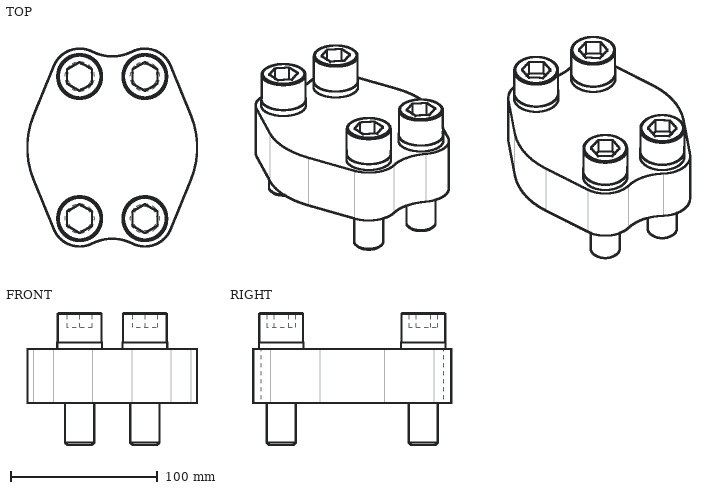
import cadquery as cq
import math

body_length = 135.0
bolt_spacing_x = 44.45
bolt_spacing_y = 96.82
ear_radius = (body_length - bolt_spacing_y) / 2
side_radius = 58.0
notch_radius = 30.0
body_height = 37.0

washer_diameter = 30.6
washer_thickness = 4.45

head_diameter = 30.0
head_height = 20.0
head_chamfer = 0.8
shank_diameter = 20.0
shank_length = 70.0
tip_chamfer = 1.75
socket_across_flats = 17.0
socket_depth = 10.0
socket_sides = 6

ear_x = bolt_spacing_x / 2
ear_y = bolt_spacing_y / 2
head_seat_z = body_height + washer_thickness


def mirror_x(point):
    return (-point[0], point[1])


def mirror_y(point):
    return (point[0], -point[1])


def point_on_circle(center, radius, angle):
    return (center[0] + radius * math.cos(angle), center[1] + radius * math.sin(angle))


def make_body():
    """Flange plate with a tangent outline, symmetric about both axes."""
    ear_center = (ear_x, ear_y)

    ear_distance = math.hypot(ear_x, ear_y)
    ear_direction = math.atan2(ear_y, ear_x)
    flank_normal = ear_direction - math.acos((side_radius - ear_radius) / ear_distance)
    side_end = point_on_circle((0, 0), side_radius, flank_normal)
    ear_start = point_on_circle(ear_center, ear_radius, flank_normal)

    center_gap = ear_radius + notch_radius
    notch_center_y = ear_y + math.sqrt(center_gap**2 - ear_x**2)
    notch_direction = math.atan2(notch_center_y - ear_y, -ear_x)
    ear_end = point_on_circle(ear_center, ear_radius, notch_direction)
    ear_middle = point_on_circle(ear_center, ear_radius, (flank_normal + notch_direction) / 2)
    notch_bottom = (0, notch_center_y - notch_radius)

    return (
        cq.Workplane("XY")
        .moveTo(*mirror_y(side_end))
        .threePointArc((side_radius, 0), side_end)
        .lineTo(*ear_start)
        .threePointArc(ear_middle, ear_end)
        .threePointArc(notch_bottom, mirror_x(ear_end))
        .threePointArc(mirror_x(ear_middle), mirror_x(ear_start))
        .lineTo(*mirror_x(side_end))
        .threePointArc((-side_radius, 0), mirror_x(mirror_y(side_end)))
        .lineTo(*mirror_x(mirror_y(ear_start)))
        .threePointArc(mirror_x(mirror_y(ear_middle)), mirror_x(mirror_y(ear_end)))
        .threePointArc(mirror_y(notch_bottom), mirror_y(ear_end))
        .threePointArc(mirror_y(ear_middle), mirror_y(ear_start))
        .close()
        .extrude(body_height)
    )


def make_washer():
    """Washer resting on the top face of the body."""
    return (
        cq.Workplane("XY", origin=(0, 0, body_height))
        .circle(washer_diameter / 2)
        .extrude(washer_thickness)
    )


def make_screw():
    """Cap screw seated on the washer, its socket corners pointing along Y."""
    seat = cq.Workplane("XY", origin=(0, 0, head_seat_z))
    head = seat.circle(head_diameter / 2).extrude(head_height)
    head = head.faces(">Z").edges().chamfer(head_chamfer)
    shank = seat.circle(shank_diameter / 2).extrude(-shank_length)
    shank = shank.faces("<Z").edges().chamfer(tip_chamfer)

    socket_across_corners = socket_across_flats / math.cos(math.pi / socket_sides)
    socket = (
        cq.Workplane("XY", origin=(0, 0, head_seat_z + head_height))
        .transformed(rotate=(0, 0, 90))
        .polygon(socket_sides, socket_across_corners)
        .extrude(-socket_depth)
    )
    return head.union(shank).cut(socket)


result = make_body()
fastener = make_washer().union(make_screw())
for x in (-ear_x, ear_x):
    for y in (-ear_y, ear_y):
        result = result.union(fastener.translate((x, y, 0)))